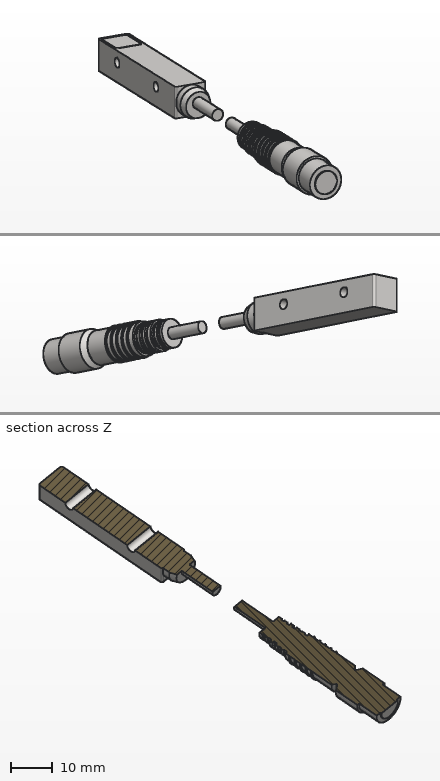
import cadquery as cq

overall_length = 109.9
sensor_front_x = -overall_length / 2
plug_end_x = overall_length / 2

cable_diameter = 3.0
cable_length = 10.0

housing_length = 40.0
housing_width = 8.2
housing_height = 8.0
housing_centre_z = -0.5
front_edge_radius = 0.7
rear_edge_radius = 0.4
housing_rear_x = sensor_front_x + housing_length
housing_top_z = housing_centre_z + housing_height / 2

mounting_hole_diameter = 2.4
mounting_hole_count = 2
mounting_hole_pitch = 20.0
first_mounting_hole_x = sensor_front_x + mounting_hole_pitch / 2
mounting_hole_z = 0.4

window_front_margin = 0.3
window_length = 8.0
window_width = 7.0
window_corner_radius = 0.7
window_depth = 0.16

strain_relief_diameter = 7.8
strain_relief_end_diameter = 6.6
strain_relief_straight_length = 2.2
strain_relief_length = 4.0
strain_relief_end_x = housing_rear_x + strain_relief_length

plug_length = 49.0
plug_cable_start_x = plug_end_x - plug_length
sleeve_start_x = plug_cable_start_x + cable_length
ribbed_length = 9.0
rib_diameters = (7.0, 7.0, 7.7, 7.7, 7.7)
rib_pitch = ribbed_length / len(rib_diameters)
rib_width = 1.0
thin_core_diameter = 6.5
thick_core_diameter = 7.3
ribs_on_thin_core = 3
thick_core_start_x = sleeve_start_x + ribs_on_thin_core * rib_pitch

barrel_diameter = 8.5
barrel_start_x = sleeve_start_x + ribbed_length
barrel_length = 15.1
barrel_end_x = barrel_start_x + barrel_length
barrel_taper_length = 0.7
ridge_diameter = 9.0
ridge_width = 0.4
ridge_count = 5
first_ridge_offset = 1.4
first_ridge_x = barrel_start_x + first_ridge_offset
ridge_row_length = 7.1
ridge_pitch = ridge_row_length / (ridge_count - 1)

neck_diameter = 6.5
neck_length = 0.2
nut_diameter = 9.7
nut_taper_length = 1.0
nut_length = 7.0
nose_diameter = 8.5
tip_diameter = 5.8
tip_length = 0.3
neck_start_x = barrel_end_x + barrel_taper_length
nut_taper_start_x = neck_start_x + neck_length
nut_start_x = nut_taper_start_x + nut_taper_length
nut_end_x = nut_start_x + nut_length
nose_end_x = plug_end_x - tip_length


def cylinder_x(diameter, start_x, end_x, centre_z=0):
    """Cylinder parallel to the X axis between two stations."""
    base = cq.Workplane("YZ", origin=(start_x, 0, centre_z))
    return base.circle(diameter / 2).extrude(end_x - start_x)


def cone_x(start_diameter, end_diameter, start_x, end_x, centre_z=0):
    """Truncated cone parallel to the X axis between two stations."""
    base = cq.Workplane("YZ", origin=(start_x, 0, centre_z)).circle(start_diameter / 2)
    return base.workplane(offset=end_x - start_x).circle(end_diameter / 2).loft(ruled=True)


def make_housing():
    """Square bar with rounded upright edges, two cross holes and the window."""
    housing = cq.Workplane("XY").box(housing_length, housing_width, housing_height)
    housing = housing.translate((sensor_front_x + housing_length / 2, 0, housing_centre_z))
    housing = housing.faces("<X").edges("|Z").fillet(front_edge_radius)
    housing = housing.faces(">X").edges("|Z").fillet(rear_edge_radius)

    for index in range(mounting_hole_count):
        hole_x = first_mounting_hole_x + index * mounting_hole_pitch
        hole_plane = cq.Workplane("XZ", origin=(hole_x, housing_width / 2, mounting_hole_z))
        housing = housing.cut(hole_plane.circle(mounting_hole_diameter / 2).extrude(housing_width))

    window_centre_x = sensor_front_x + window_front_margin + window_length / 2
    window_centre = (window_centre_x, 0, housing_top_z - window_depth)
    window = cq.Workplane("XY", origin=window_centre).rect(window_length, window_width).extrude(window_depth)
    return housing.cut(window.edges("|Z").fillet(window_corner_radius))


def make_sensor():
    """Housing with its strain relief and cable stub."""
    taper_start_x = housing_rear_x + strain_relief_straight_length
    strain_relief = cylinder_x(strain_relief_diameter, housing_rear_x, taper_start_x, housing_centre_z)
    taper_diameters = (strain_relief_diameter, strain_relief_end_diameter)
    taper = cone_x(*taper_diameters, taper_start_x, strain_relief_end_x, housing_centre_z)
    cable = cylinder_x(cable_diameter, strain_relief_end_x, strain_relief_end_x + cable_length)
    return make_housing().union(strain_relief).union(taper).union(cable)


def make_sleeve():
    """Ribbed bend relief and ridged barrel of the plug."""
    sleeve = cylinder_x(thin_core_diameter, sleeve_start_x, thick_core_start_x)
    sleeve = sleeve.union(cylinder_x(thick_core_diameter, thick_core_start_x, barrel_start_x))
    for index, rib_diameter in enumerate(rib_diameters):
        rib_x = sleeve_start_x + index * rib_pitch
        sleeve = sleeve.union(cylinder_x(rib_diameter, rib_x, rib_x + rib_width))

    sleeve = sleeve.union(cylinder_x(barrel_diameter, barrel_start_x, barrel_end_x))
    for index in range(ridge_count):
        ridge_x = first_ridge_x + index * ridge_pitch
        sleeve = sleeve.union(cylinder_x(ridge_diameter, ridge_x, ridge_x + ridge_width))
    return sleeve.union(cone_x(barrel_diameter, neck_diameter, barrel_end_x, neck_start_x))


def make_coupling():
    """Neck, coupling nut, nose and tip of the plug."""
    coupling = cylinder_x(neck_diameter, neck_start_x, nut_taper_start_x)
    coupling = coupling.union(cone_x(neck_diameter, nut_diameter, nut_taper_start_x, nut_start_x))
    coupling = coupling.union(cylinder_x(nut_diameter, nut_start_x, nut_end_x))
    coupling = coupling.union(cylinder_x(nose_diameter, nut_end_x, nose_end_x))
    return coupling.union(cylinder_x(tip_diameter, nose_end_x, plug_end_x))


def make_plug():
    """Cable stub, sleeve and coupling as one moulded plug."""
    cable = cylinder_x(cable_diameter, plug_cable_start_x, sleeve_start_x)
    return cable.union(make_sleeve()).union(make_coupling())


sensor = make_sensor().solids()
plug = make_plug().solids()
result = cq.Compound.makeCompound([sensor.val(), plug.val()])